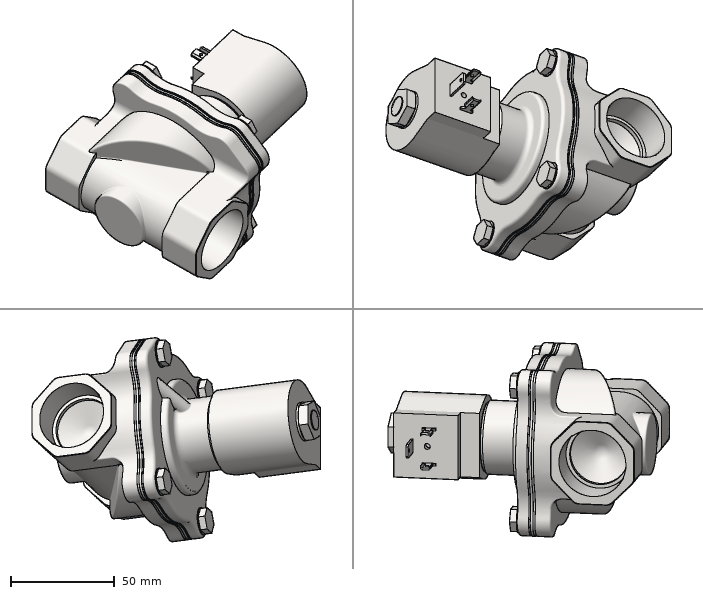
import cadquery as cq
import math


MATCH = 0.6

PORT_LEFT_END = -45.0
PORT_RIGHT_END = 47.1
PORT_LENGTH = 20.7
PORT_FLATS = 41.1
PORT_CORNER_RADIUS = 4.8
PORT_CHAMFER = 0.3
PIPE_RADIUS = 19.0
PIPE_OVERLAP = 1.3
BORE_MOUTH_RADIUS = 16.4
BORE_END_RADIUS = 16.2
BORE_DEPTH = 17.0
SEAT_RADIUS = 14.4
SEAT_DEPTH = 2.3
SEAT_CONE_LENGTH = 7.7

DRAIN_RADIUS = 15.0
DRAIN_FACE = -20.5
DRAIN_EDGE_ROUND = 0.8
DRAIN_ROOT_ROUND = 0.5

CHAMBER_RADIUS = 34.8
CHAMBER_SLOPE = 24.9
CHAMBER_MID_HEIGHT = 4.4
CHAMBER_EDGE_ROUND = 1.0
CHAMBER_ROOT_ROUND = 0.5
NECK_FLARE_RADIUS = 5.8

FLANGE_WIDTH = 82.0
DISC_RADIUS = FLANGE_WIDTH / 2
LOBE_RADIUS = 8.0
LOBE_X = 29.0
LOBE_Z = DISC_RADIUS - LOBE_RADIUS
PILOT_LOBE_X = 38.8
PILOT_LOBE_Z = 24.1
BLEND_RADIUS = 19.9

BODY_BOTTOM = 22.0
BODY_TOP = 29.8
GASKET_TOP = 30.8
GROOVE_BOTTOM = 32.1
GROOVE_TOP = 32.9
COVER_TOP = 38.8
BODY_EDGE_ROUND = 0.8
COVER_EDGE_ROUND = 1.7
GASKET_INSET = 0.3
GROOVE_DEPTH = 0.3

BOLT_FLATS = 11.0
BOLT_TOP = 42.6
BOLT_COLLAR_RADIUS = 6.7
BOLT_COLLAR_TOP = 39.2

HUB_RADIUS = 28.2
HUB_TOP = 42.5
HUB_EDGE_ROUND = 1.7
STEM_RADIUS = 18.0
STEM_TOP = 60.3
STEM_TOP_BEVEL = 1.3
STEM_FLARE = 2.7

TUBE_RADIUS = 3.5
TUBE_AZIMUTH = 30.0
TUBE_DROP = 29.0
TUBE_START_RADIAL = 15.4
TUBE_START_Y = 47.3
TUBE_LENGTH = 25.7
TUBE_ROOT_ROUND = 1.0

COIL_RADIUS = 20.4
COIL_BOTTOM = 60.6
COIL_TOP = 101.5
COIL_BACK_X = -18.1
COIL_BACK_HALF = 15.9
SOCKET_FACE_X = -24.8
SOCKET_BOTTOM = 69.8
SCREW_HOLE_RADIUS = 1.4
SCREW_HOLE_Y = 85.0
SCREW_HOLE_DEPTH = 3.9

NUT_WASHER_RADIUS = 9.4
NUT_WASHER_TOP = 102.6
NUT_FLATS = 17.2
NUT_TOP = 107.3
STUD_RADIUS = 4.9
STUD_TOP = 107.9

BLADE_THICKNESS = 1.0
EARTH_TIP_X = -37.6
EARTH_Y = 92.5
EARTH_WIDTH = 6.7
EARTH_HOLE_X = -34.9
EARTH_TIP_CHAMFER = 1.0
LINE_TIP_X = -34.9
LINE_Y = 84.0
LINE_Z = 8.7
LINE_BASE_WIDTH = 6.7
LINE_BASE_LENGTH = 1.3
LINE_WEB_WIDTH = 3.1
LINE_WEB_START_X = -26.8
LINE_WING_WIDTH = 4.9
LINE_WING_START_X = -27.5
LINE_WING_DROP = 0.8
LINE_HOLE_X = -30.7
BLADE_HOLE_RADIUS = 0.8


def section(height):
    """Workplane across the stem axis at the given Y; local axes are X and Z."""
    return cq.Workplane("XZ", origin=(0, height, 0))


def disc(radius, bottom, top):
    return section(bottom).circle(radius).extrude(bottom - top)


def box(x_range, y_range, z_range):
    sizes = [end - start for start, end in (x_range, y_range, z_range)]
    corner = cq.Vector(x_range[0], y_range[0], z_range[0])
    return cq.Workplane(cq.Solid.makeBox(*sizes, corner))


def hexagon(flats, center, bottom, top, turn=0):
    corner_diameter = flats / math.cos(math.radians(30))
    prism = cq.Workplane("XZ").polygon(6, corner_diameter).extrude(bottom - top)
    prism = prism.rotate((0, 0, 0), (0, 1, 0), turn)
    return prism.translate((center[0], bottom, center[1]))


def toward(start, target, distance):
    """Point at a distance from start, in the direction of target."""
    ratio = distance / math.dist(start, target)
    return tuple(s + (t - s) * ratio for s, t in zip(start, target))


def blend_center(first, first_radius, second, second_radius):
    """Centre of the hollow arc that touches two circles on the right of first -> second."""
    a = first_radius + BLEND_RADIUS
    b = second_radius + BLEND_RADIUS
    gap = math.dist(first, second)
    along = (a**2 - b**2 + gap**2) / (2 * gap)
    aside = math.sqrt(a**2 - along**2)
    ux = (second[0] - first[0]) / gap
    uz = (second[1] - first[1]) / gap
    return (first[0] + ux * along + uz * aside, first[1] + uz * along - ux * aside)


def flange_outline(height):
    """Closed outline of the flange: a disc with four bolt lobes and one pilot lobe."""
    middle = (0, 0)
    pilot = (PILOT_LOBE_X, PILOT_LOBE_Z)
    first_lobe = (LOBE_X, LOBE_Z)
    circles = [(middle, DISC_RADIUS), (pilot, LOBE_RADIUS), (first_lobe, LOBE_RADIUS)]
    for side_x, side_z in ((-1, 1), (-1, -1), (1, -1)):
        circles.append((middle, DISC_RADIUS))
        circles.append(((side_x * LOBE_X, side_z * LOBE_Z), LOBE_RADIUS))

    joints = []
    for index, (center, radius) in enumerate(circles):
        following, following_radius = circles[(index + 1) % len(circles)]
        if center == pilot:
            length = math.dist(center, following)
            normal_x = (following[1] - center[1]) / length * radius
            normal_z = (center[0] - following[0]) / length * radius
            leave = (center[0] + normal_x, center[1] + normal_z)
            arrive = (following[0] + normal_x, following[1] + normal_z)
            joints.append((leave, None, arrive))
        else:
            blend = blend_center(center, radius, following, following_radius)
            leave = toward(center, blend, radius)
            arrive = toward(following, blend, following_radius)
            chord_middle = ((leave[0] + arrive[0]) / 2, (leave[1] + arrive[1]) / 2)
            joints.append((leave, toward(blend, chord_middle, BLEND_RADIUS), arrive))

    outline = section(height).moveTo(*joints[-1][2])
    arrived = joints[-1][2]
    for (center, radius), (leave, hollow, arrive) in zip(circles, joints):
        chord_middle = ((arrived[0] + leave[0]) / 2, (arrived[1] + leave[1]) / 2)
        outline = outline.threePointArc(toward(center, chord_middle, radius), leave)
        if hollow is None:
            outline = outline.lineTo(*arrive)
        else:
            outline = outline.threePointArc(hollow, arrive)
        arrived = arrive
    return outline.close()


def flange_plate(bottom, top):
    return flange_outline(bottom).extrude(bottom - top)


def inset_plate(inset, bottom, top):
    return flange_outline(bottom).offset2D(-inset).extrude(bottom - top)


def port(start, outer_face):
    corner_diameter = PORT_FLATS / math.cos(math.pi / 8)
    prism = cq.Workplane("YZ", origin=(start, 0, 0))
    prism = prism.transformed(rotate=(0, 0, 22.5)).polygon(8, corner_diameter).extrude(PORT_LENGTH)
    prism = prism.edges("|X").fillet(PORT_CORNER_RADIUS)
    return prism.faces(outer_face).edges().chamfer(PORT_CHAMFER)


def flange_with_neck():
    """Body flange and the walls that flare up to it from the port flats along its outline."""
    half = PORT_FLATS / 2
    flare_start = BODY_BOTTOM - NECK_FLARE_RADIUS
    flare_half = half + NECK_FLARE_RADIUS
    bend = NECK_FLARE_RADIUS * (1 - math.sqrt(0.5))
    slab = (
        cq.Workplane("YZ", origin=(PORT_LEFT_END, 0, 0))
        .moveTo(0, -half)
        .lineTo(flare_start, -half)
        .threePointArc((BODY_BOTTOM - bend, -half - bend), (BODY_BOTTOM, -flare_half))
        .lineTo(BODY_BOTTOM, flare_half)
        .threePointArc((BODY_BOTTOM - bend, half + bend), (flare_start, half))
        .lineTo(0, half)
        .close()
        .extrude(PORT_RIGHT_END - PORT_LEFT_END)
    )
    joined = flange_plate(BODY_BOTTOM, BODY_TOP).union(slab.intersect(flange_plate(0, BODY_BOTTOM)))
    underside = joined.faces("|Y").filter(lambda face: abs(face.Center().y - BODY_BOTTOM) < MATCH)
    rim = underside.edges("not |X")
    joined = rim.fillet(BODY_EDGE_ROUND)
    between_ports = (PORT_LEFT_END + PORT_LENGTH, PORT_RIGHT_END - PORT_LENGTH)
    return joined.cut(box(between_ports, (0, flare_start), (-half, half)))


def chamber():
    """Round chamber cut off by a sloping plane over the pipe."""
    drum = disc(CHAMBER_RADIUS, -PIPE_RADIUS, BODY_BOTTOM)
    size = 4 * CHAMBER_RADIUS
    below = cq.Workplane("XY").box(size, size, size).translate((0, -size / 2, 0))
    below = below.rotate((0, 0, 0), (0, 0, 1), CHAMBER_SLOPE).translate((0, CHAMBER_MID_HEIGHT, 0))
    return drum.cut(below).faces("<Y").edges().fillet(CHAMBER_EDGE_ROUND)


def pipe():
    """Round pipe with upright walls toward the flange; its ends are buried in the ports."""
    start = PORT_LEFT_END + PORT_LENGTH - PIPE_OVERLAP
    end = PORT_RIGHT_END - PORT_LENGTH + PIPE_OVERLAP
    tube = cq.Workplane("YZ", origin=(start, 0, 0)).circle(PIPE_RADIUS).extrude(end - start)
    walls = box((start, end), (0, BODY_BOTTOM), (-PIPE_RADIUS, PIPE_RADIUS))
    drain = disc(DRAIN_RADIUS, DRAIN_FACE, 0)
    joined = tube.union(drain)
    joined = joined.faces("<Y").edges().fillet(DRAIN_EDGE_ROUND)
    root = cq.selectors.BoxSelector(
        (-PIPE_RADIUS, -PIPE_RADIUS, -PIPE_RADIUS), (PIPE_RADIUS, -MATCH, PIPE_RADIUS)
    )
    return joined.edges(root).fillet(DRAIN_ROOT_ROUND).union(walls)


def pipe_with_chamber():
    """Pipe joined to the chamber, with the two long corners under the slope rounded."""
    joined = pipe().union(chamber())
    slope = math.radians(CHAMBER_SLOPE)
    slope_faces = joined.faces(
        cq.selectors.ParallelDirSelector(cq.Vector(math.sin(slope), -math.cos(slope), 0))
    )
    root = slope_faces.edges().filter(lambda edge: abs(abs(edge.Center().z) - PIPE_RADIUS) < MATCH)
    return root.fillet(CHAMBER_ROOT_ROUND)


def port_bore(end, inward):
    """Slightly tapered bore, seat bore and conical bottom, from a port end toward the middle."""
    seat_end = BORE_DEPTH + SEAT_DEPTH
    profile = (
        cq.Workplane("XY")
        .lineTo(0, BORE_MOUTH_RADIUS)
        .lineTo(BORE_DEPTH, BORE_END_RADIUS)
        .lineTo(BORE_DEPTH, SEAT_RADIUS)
        .lineTo(seat_end, SEAT_RADIUS)
        .lineTo(seat_end + SEAT_CONE_LENGTH, 0)
        .close()
        .revolve(360, (0, 0, 0), (1, 0, 0))
    )
    if inward < 0:
        profile = profile.mirror("YZ")
    return profile.translate((end, 0, 0))


def valve_body():
    body = flange_with_neck().union(pipe_with_chamber())
    body = body.union(port(PORT_LEFT_END, "<X")).union(port(PORT_RIGHT_END - PORT_LENGTH, ">X"))
    body = body.cut(port_bore(PORT_LEFT_END, 1))
    return body.cut(port_bore(PORT_RIGHT_END, -1))


def cover():
    lower = flange_plate(GASKET_TOP, GROOVE_BOTTOM)
    upper = flange_plate(GROOVE_TOP, COVER_TOP).faces(">Y").edges().fillet(COVER_EDGE_ROUND)
    gasket = inset_plate(GASKET_INSET, BODY_TOP, GASKET_TOP)
    groove_floor = inset_plate(GROOVE_DEPTH, GROOVE_BOTTOM, GROOVE_TOP)
    hub = disc(HUB_RADIUS, COVER_TOP, HUB_TOP).faces(">Y").edges().fillet(HUB_EDGE_ROUND)
    stack = gasket.union(lower).union(groove_floor).union(upper).union(hub)
    for x in (-LOBE_X, LOBE_X):
        for z in (-LOBE_Z, LOBE_Z):
            collar = disc(BOLT_COLLAR_RADIUS, COVER_TOP, BOLT_COLLAR_TOP).translate((x, 0, z))
            stack = stack.union(collar).union(hexagon(BOLT_FLATS, (x, z), BOLT_COLLAR_TOP, BOLT_TOP))
    return stack


def stem():
    """Round neck of the cover, flared into the hub and bevelled under the coil."""
    bend = STEM_FLARE * (1 - math.sqrt(0.5))
    return (
        cq.Workplane("XY")
        .moveTo(0, COVER_TOP)
        .lineTo(STEM_RADIUS + STEM_FLARE, COVER_TOP)
        .lineTo(STEM_RADIUS + STEM_FLARE, HUB_TOP)
        .threePointArc((STEM_RADIUS + bend, HUB_TOP + bend), (STEM_RADIUS, HUB_TOP + STEM_FLARE))
        .lineTo(STEM_RADIUS, STEM_TOP - STEM_TOP_BEVEL)
        .lineTo(STEM_RADIUS - STEM_TOP_BEVEL, STEM_TOP)
        .lineTo(STEM_RADIUS - STEM_TOP_BEVEL, COIL_BOTTOM)
        .lineTo(0, COIL_BOTTOM)
        .close()
        .revolve(360, (0, 0, 0), (0, 1, 0))
    )


def stem_with_pilot_tube():
    """Stem with a slanting tube that leads down to the pilot lobe."""
    azimuth = math.radians(TUBE_AZIMUTH)
    drop = math.radians(TUBE_DROP)
    start = cq.Vector(
        TUBE_START_RADIAL * math.cos(azimuth), TUBE_START_Y, TUBE_START_RADIAL * math.sin(azimuth)
    )
    direction = cq.Vector(
        math.cos(drop) * math.cos(azimuth), -math.sin(drop), math.cos(drop) * math.sin(azimuth)
    )
    tube = cq.Solid.makeCylinder(TUBE_RADIUS, TUBE_LENGTH, start, direction)
    joined = stem().union(cq.Workplane(tube))
    root = joined.edges("%BSPLINE").filter(lambda edge: edge.Center().y > HUB_TOP)
    return root.fillet(TUBE_ROOT_ROUND)


def coil():
    corner = (COIL_BACK_X, COIL_BACK_HALF)
    corner_angle = math.atan2(corner[1], corner[0])
    tangent_angle = corner_angle - math.acos(COIL_RADIUS / math.hypot(*corner))
    tangent = (COIL_RADIUS * math.cos(tangent_angle), COIL_RADIUS * math.sin(tangent_angle))
    winding = (
        section(COIL_BOTTOM)
        .moveTo(*corner)
        .lineTo(*tangent)
        .threePointArc((COIL_RADIUS, 0), (tangent[0], -tangent[1]))
        .lineTo(corner[0], -corner[1])
        .close()
        .extrude(COIL_BOTTOM - COIL_TOP)
    )
    socket = box(
        (SOCKET_FACE_X, COIL_BACK_X), (SOCKET_BOTTOM, COIL_TOP), (-COIL_BACK_HALF, COIL_BACK_HALF)
    )
    screw_hole = cq.Workplane("YZ", origin=(SOCKET_FACE_X, SCREW_HOLE_Y, 0))
    screw_hole = screw_hole.circle(SCREW_HOLE_RADIUS).extrude(SCREW_HOLE_DEPTH)
    return winding.union(socket).cut(screw_hole)


def nut():
    washer = disc(NUT_WASHER_RADIUS, COIL_TOP, NUT_WASHER_TOP)
    head = hexagon(NUT_FLATS, (0, 0), NUT_WASHER_TOP, NUT_TOP, 30)
    stud = disc(STUD_RADIUS, NUT_TOP, STUD_TOP)
    return washer.union(head).union(stud)


def earth_terminal():
    half = BLADE_THICKNESS / 2
    blade = box(
        (EARTH_TIP_X, SOCKET_FACE_X),
        (EARTH_Y - half, EARTH_Y + half),
        (-EARTH_WIDTH / 2, EARTH_WIDTH / 2),
    )
    hole = disc(BLADE_HOLE_RADIUS, EARTH_Y - half, EARTH_Y + half).translate((EARTH_HOLE_X, 0, 0))
    blade = blade.edges("|Y and <X").chamfer(EARTH_TIP_CHAMFER)
    return blade.cut(hole)


def line_terminal():
    """Blade on the +Z side, with two wings bent toward the stem axis."""
    neck_x = SOCKET_FACE_X - LINE_BASE_LENGTH
    half_base = LINE_BASE_WIDTH / 2
    half_web = LINE_WEB_WIDTH / 2
    half_wing = LINE_WING_WIDTH / 2
    top = LINE_Z + BLADE_THICKNESS / 2
    bottom = LINE_Z - BLADE_THICKNESS / 2
    blade = (
        cq.Workplane("XY", origin=(0, LINE_Y, bottom))
        .moveTo(SOCKET_FACE_X, -half_base)
        .lineTo(neck_x, -half_base)
        .lineTo(LINE_WEB_START_X, -half_web)
        .lineTo(LINE_TIP_X, -half_web)
        .lineTo(LINE_TIP_X, half_web)
        .lineTo(LINE_WEB_START_X, half_web)
        .lineTo(neck_x, half_base)
        .lineTo(SOCKET_FACE_X, half_base)
        .close()
        .extrude(BLADE_THICKNESS)
    )
    for side in (-1, 1):
        wing = (
            cq.Workplane("YZ", origin=(LINE_TIP_X, LINE_Y, 0))
            .moveTo(side * half_web, top)
            .lineTo(side * half_wing, top - LINE_WING_DROP)
            .lineTo(side * half_wing, bottom - LINE_WING_DROP)
            .lineTo(side * half_web, bottom)
            .close()
            .extrude(LINE_WING_START_X - LINE_TIP_X)
        )
        blade = blade.union(wing)
    hole = cq.Workplane("XY", origin=(LINE_HOLE_X, LINE_Y, 0)).circle(BLADE_HOLE_RADIUS)
    return blade.cut(hole.extrude(2 * LINE_Z))


result = valve_body().union(cover()).union(stem_with_pilot_tube()).union(coil()).union(nut())
result = result.union(earth_terminal())
result = result.union(line_terminal()).union(line_terminal().mirror("XY"))